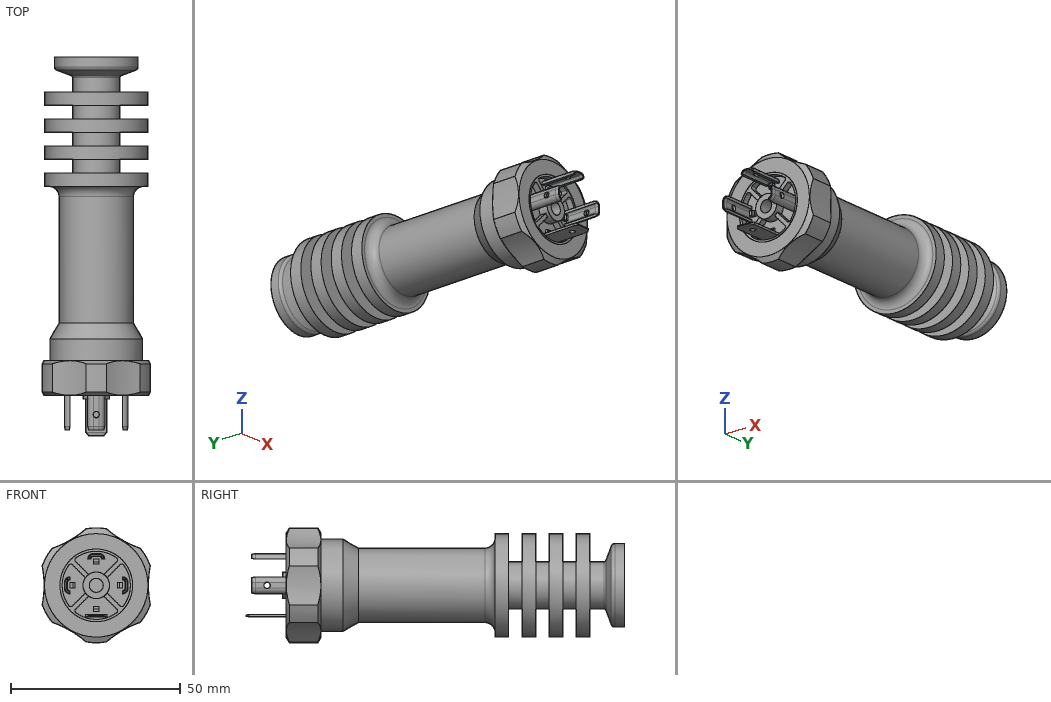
import cadquery as cq
import math


handle_end = 100.0
knob_cone_start = 96.3
knob_cone_end = 94.3
first_fin_end = 89.7
last_fin_end = 65.8
cone_end = 21.4
collar_end = 16.8
nut_length = 10.4

knob_diameter = 24.7
knob_edge_radius = 1.1
neck_fillet = 0.6
neck_diameter = 14.0
fin_diameter = 30.5
fin_count = 4
fin_thickness = 4.0
barrel_diameter = 22.0
barrel_fillet = 3.0
collar_diameter = 27.4

nut_corner_diameter = 34.0
nut_width = 32.0
nut_flank_distance = 15.4
nut_face_diameter = 30.5
nut_chamfer_angle = 30

insert_diameter = 21.5
insert_recess = 0.1
pocket_diameter = 20.1
pocket_floor = 2.2
contact_root = 3.4
pocket_corner_radius = 0.7
spoke_width = 1.3
hub_diameter = 7.8
hub_height = 1.0
hub_hole_diameter = 4.1
hub_hole_depth = 6.7

contact_hole_diameter = 1.8
pin_outer_distance = 9.4
pin_width = 5.0
pin_bend_radius = 1.7
pin_sheet = 0.9
pin_tip = -10.2
pin_taper_length = 1.1
pin_taper_depth = 0.2
pin_hole_station = -5.6
ground_distance = 9.0
ground_sheet = 0.8
ground_width = 6.3
ground_tip = -11.9
ground_taper_length = 1.0
ground_taper_depth = 0.9
ground_tip_bevel = 0.2
ground_hole_station = -7.5

lug_width = 1.7
lug_inner_distance = 6.3
lug_step_distance = 6.9
lug_outer_distance = 7.7
lug_low_height = 0.7
lug_high_height = 1.3

PIN_ANGLES = (0, 90, 180)
GROUND_ANGLE = 270


def along_y(station, length):
    """Workplane across Y with X right and Z up, and the extrusion depth that runs towards +Y."""
    plane = cq.Plane(origin=(0, station, 0), xDir=(1, 0, 0), normal=(0, -1, 0))
    return cq.Workplane(plane), -length


def disc(diameter, start, end):
    """Cylinder on the Y axis between two stations."""
    plane, depth = along_y(start, end - start)
    return plane.circle(diameter / 2).extrude(depth)


def box(x_range, y_range, z_range):
    """Box given by its limits along each axis."""
    sizes = [high - low for low, high in (x_range, y_range, z_range)]
    corner = (x_range[0], y_range[0], z_range[0])
    return cq.Workplane("XY").box(*sizes, centered=False).translate(corner)


def turn(body, angle):
    """Turn a body about the Y axis, from +X towards +Z."""
    return body.rotate((0, 0, 0), (0, 1, 0), -angle)


def circle_at(radius, station):
    """Selector for the circular edge of the given radius around the Y axis at a station."""
    tolerance = 0.1
    low = (-radius - tolerance, station - tolerance, -radius - tolerance)
    high = (radius + tolerance, station + tolerance, radius + tolerance)
    return cq.selectors.BoxSelector(low, high, boundingbox=True)


def make_handle():
    neck = neck_diameter / 2
    barrel = barrel_diameter / 2
    collar = collar_diameter / 2
    knob = knob_diameter / 2
    last_fin_start = last_fin_end - fin_thickness
    fin_pitch = (first_fin_end - last_fin_end) / (fin_count - 1)
    bend = barrel_fillet * (1 - math.sqrt(0.5))

    outline = (
        cq.Workplane("XY")
        .moveTo(0, nut_length)
        .lineTo(collar, nut_length)
        .lineTo(collar, collar_end)
        .lineTo(barrel, cone_end)
        .lineTo(barrel, last_fin_start - barrel_fillet)
        .threePointArc(
            (barrel + bend, last_fin_start - bend),
            (barrel + barrel_fillet, last_fin_start),
        )
        .lineTo(neck, last_fin_start)
        .lineTo(neck, knob_cone_end)
        .lineTo(knob, knob_cone_start)
        .lineTo(knob, handle_end)
        .lineTo(0, handle_end)
        .close()
    )
    handle = outline.revolve(360, (0, 0), (0, 1))
    handle = handle.edges(circle_at(knob, knob_cone_start)).fillet(knob_edge_radius)
    handle = handle.edges(circle_at(neck, knob_cone_end)).fillet(neck_fillet)
    for index in range(fin_count):
        fin_end = first_fin_end - index * fin_pitch
        handle = handle.union(disc(fin_diameter, fin_end - fin_thickness, fin_end))
    return handle


def make_nut():
    corner = nut_corner_diameter / 2
    face = nut_face_diameter / 2
    half_corner = math.radians(30) - math.acos(nut_width / nut_corner_diameter)

    def polar(radius, angle):
        return radius * math.cos(angle), radius * math.sin(angle)

    plane, depth = along_y(0, nut_length)
    outline = plane.moveTo(*polar(corner, math.radians(30) - half_corner))
    for index in range(6):
        corner_angle = math.radians(30 + 60 * index)
        flank_angle = corner_angle + math.radians(30)
        next_start = corner_angle + math.radians(60) - half_corner
        outline = outline.threePointArc(
            polar(corner, corner_angle), polar(corner, corner_angle + half_corner)
        ).threePointArc(polar(nut_flank_distance, flank_angle), polar(corner, next_start))
    prism = outline.close().extrude(depth)

    chamfer = (corner - face) * math.tan(math.radians(nut_chamfer_angle))
    envelope = (
        cq.Workplane("XY")
        .polyline(
            [
                (0, 0),
                (face, 0),
                (corner, chamfer),
                (corner, nut_length - chamfer),
                (face, nut_length),
                (0, nut_length),
            ]
        )
        .close()
        .revolve(360, (0, 0), (0, 1))
    )
    return prism.intersect(envelope)


def make_pocket():
    """Sector pocket on the +X side, between two diagonal spokes; its apex lies under the hub."""
    half_spoke = spoke_width / 2

    def corner(radius, side):
        angle = side * (math.radians(45) - math.asin(half_spoke / radius))
        return radius * math.cos(angle), radius * math.sin(angle)

    ring = pocket_diameter / 2
    apex = half_spoke * math.sqrt(2)
    plane, depth = along_y(0, pocket_floor)
    sector = (
        plane.moveTo(apex, 0)
        .lineTo(*corner(ring, -1))
        .threePointArc((ring, 0), corner(ring, 1))
        .close()
        .extrude(depth)
    )
    return sector.edges("|Y").edges(">X").fillet(pocket_corner_radius)


def contact_hole(station):
    """Cylinder along X, reaching from the axis past the contacts on the +X side."""
    return (
        cq.Workplane("YZ")
        .center(station, 0)
        .circle(contact_hole_diameter / 2)
        .extrude(insert_diameter / 2)
    )


def make_pin():
    """Sheet contact on the +X side, bent to a shallow channel open towards the hub."""
    half = pin_width / 2
    inner_half = half - pin_sheet
    bend_start = pin_outer_distance - pin_bend_radius
    web_inside = pin_outer_distance - pin_sheet
    outer = pin_bend_radius
    inner = pin_bend_radius - pin_sheet

    def channel(plane):
        return (
            plane.moveTo(bend_start, -half)
            .radiusArc((pin_outer_distance, outer - half), -outer)
            .lineTo(pin_outer_distance, half - outer)
            .radiusArc((bend_start, half), -outer)
            .lineTo(bend_start, inner_half)
            .radiusArc((web_inside, inner_half - inner), inner)
            .lineTo(web_inside, inner - inner_half)
            .radiusArc((bend_start, -inner_half), inner)
            .close()
        )

    taper_start = pin_tip + pin_taper_length
    taper_angle = math.degrees(math.atan(pin_taper_depth / pin_taper_length))
    shank_plane, shank_depth = along_y(taper_start, contact_root - taper_start)
    tip_plane, tip_depth = along_y(taper_start, pin_tip - taper_start)
    shank = channel(shank_plane).extrude(shank_depth)
    tip = channel(tip_plane).extrude(tip_depth, taper=taper_angle)
    return shank.union(tip).cut(contact_hole(pin_hole_station))


def make_ground():
    """Flat earth blade on the +X side, with a narrowed and bevelled tip."""
    inner = ground_distance - ground_sheet / 2
    outer = ground_distance + ground_sheet / 2
    half = ground_width / 2
    half_tip = half - ground_taper_depth
    shoulder = ground_tip + ground_taper_length
    face_outline = [
        (contact_root, -half),
        (shoulder, -half),
        (ground_tip, -half_tip),
        (ground_tip, half_tip),
        (shoulder, half),
        (contact_root, half),
    ]
    side_outline = [
        (inner, contact_root),
        (inner, shoulder),
        (inner + ground_tip_bevel, ground_tip),
        (outer - ground_tip_bevel, ground_tip),
        (outer, shoulder),
        (outer, contact_root),
    ]
    face = cq.Workplane("YZ", origin=(inner, 0, 0)).polyline(face_outline).close()
    side = cq.Workplane("XY", origin=(0, 0, -half)).polyline(side_outline).close()
    blade = face.extrude(ground_sheet).intersect(side.extrude(ground_width))
    return blade.cut(contact_hole(ground_hole_station))


def make_lug():
    """Two-step lug on the pocket floor of the +X side."""
    half = lug_width / 2
    low_step = box(
        (lug_inner_distance, lug_step_distance),
        (pocket_floor - lug_low_height, contact_root),
        (-half, half),
    )
    high_step = box(
        (lug_step_distance, lug_outer_distance),
        (pocket_floor - lug_high_height, contact_root),
        (-half, half),
    )
    return low_step.union(high_step)


result = make_handle().union(make_nut())
result = result.cut(disc(insert_diameter, 0, insert_recess))

pocket = make_pocket()
for angle in (*PIN_ANGLES, GROUND_ANGLE):
    result = result.cut(turn(pocket, angle))

hub = disc(hub_diameter, -hub_height, contact_root)
hub_hole = disc(hub_hole_diameter, -hub_height, hub_hole_depth - hub_height)
result = result.union(hub).cut(hub_hole)

pin = make_pin()
lug = make_lug()
for angle in PIN_ANGLES:
    result = result.union(turn(pin, angle)).union(turn(lug, angle))
result = result.union(turn(make_ground(), GROUND_ANGLE)).union(turn(lug, GROUND_ANGLE))